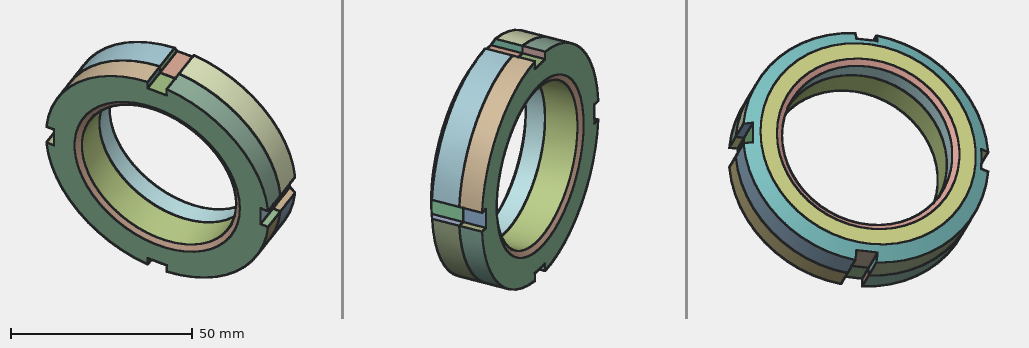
import cadquery as cq
import math


outer_radius = 35.0
total_width = 18.0
front_ring_width = 7.0
seam_gap = 0.1

spigot_radius = 28.0
spigot_length = 4.0

bore_radius = 24.25
bore_chamfer_radius = 26.0
bore_chamfer_depth = 1.0

back_bevel_depth = 2.5
back_bevel_angle = math.radians(30)
back_face_radius = outer_radius - back_bevel_depth / math.tan(back_bevel_angle)

slot_count = 4
slot_width = 6.0
slot_floor_radius = 32.5

spigot_end = front_ring_width + spigot_length
back_ring_start = front_ring_width + seam_gap
recess_floor = spigot_end + seam_gap
bevel_start = total_width - back_bevel_depth
bore_chamfer_end = total_width - bore_chamfer_depth


def revolve_about_y(profile):
    """Turn a closed list of (radius, y) points around the Y axis."""
    return cq.Workplane("XY").polyline(profile).close().revolve(360, (0, 0), (0, 1))


def cut_spanner_slots(ring):
    """Cut the evenly spaced spanner slots along the whole rim."""
    slot_depth = outer_radius - slot_floor_radius
    for index in range(slot_count):
        slot = (
            cq.Workplane("XY")
            .box(2 * slot_depth, total_width, slot_width, centered=(False, False, True))
            .translate((slot_floor_radius, 0, 0))
            .rotate((0, 0, 0), (0, 1, 0), index * 360 / slot_count)
        )
        ring = ring.cut(slot)
    return ring


def make_front_ring():
    profile = [
        (bore_chamfer_radius, 0),
        (outer_radius, 0),
        (outer_radius, front_ring_width),
        (spigot_radius, front_ring_width),
        (spigot_radius, spigot_end),
        (bore_radius, spigot_end),
        (bore_radius, bore_chamfer_depth),
    ]
    return cut_spanner_slots(revolve_about_y(profile))


def make_back_ring():
    profile = [
        (bore_radius, recess_floor),
        (spigot_radius, recess_floor),
        (spigot_radius, back_ring_start),
        (outer_radius, back_ring_start),
        (outer_radius, bevel_start),
        (back_face_radius, total_width),
        (bore_chamfer_radius, total_width),
        (bore_radius, bore_chamfer_end),
    ]
    return cut_spanner_slots(revolve_about_y(profile))


front_ring = make_front_ring()
back_ring = make_back_ring()

result = cq.Compound.makeCompound([front_ring.val(), back_ring.val()])